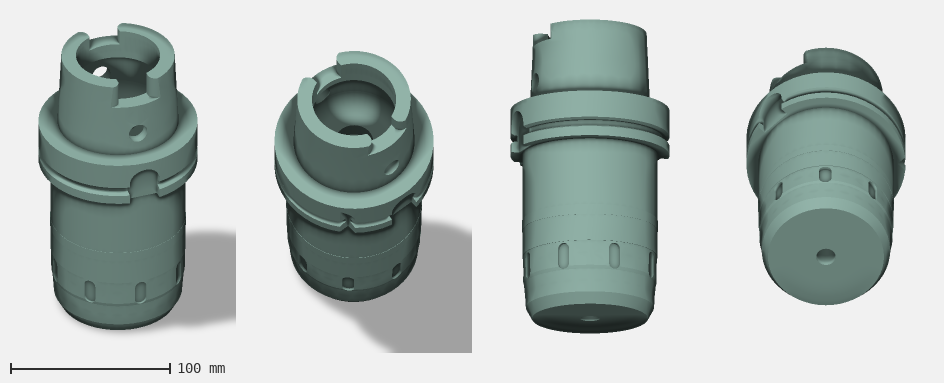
import cadquery as cq
import math


total_height = 185.0
shank_length = 50.0
flange_height = 29.0
flange_top = total_height - shank_length
flange_bottom = flange_top - flange_height

nose_radius = 36.5
nose_bevel_top_z = 7.0
nose_bevel_top_radius = 40.3
nose_top_z = 21.6
nose_top_radius = 41.5
grip_bottom_z = 23.9
grip_bottom_radius = 42.0
grip_top_z = 40.0
grip_top_radius = 42.2

body_radius = 42.5
band_radius = 42.7
band_bottom_z = 56.8
band_top_z = 63.3

flange_diameter = 100.0
flange_radius = flange_diameter / 2
groove_radius = 46.0
groove_bottom_z = 113.0
groove_top_z = 117.0
groove_bevel_height = 1.1
groove_bevel_width = 2.0

shank_base_radius = 38.1
shank_top_radius = 35.7

mouth_radius = 26.5
mouth_depth = 20.0
cavity_radius = 31.3
cavity_depth = 50.9
cavity_floor_fillet = 10.0
counterbore_radius = 12.0
counterbore_depth = 11.1
through_radius = 6.1

drive_slot_width = 20.0
drive_slot_shoulder = 32.4
drive_slot_round = 5.0
left_slot_depth = 10.0
right_slot_depth = 15.0

cross_hole_radius = 6.1
cross_hole_z = 149.7

edge_slot_radius = 10.0
edge_slot_arch_z = 119.9
edge_slot_floor = 44.0
notch_floor = 32.0
notch_wall = 31.6
notch_arch_z = 120.5

grip_slot_count = 8
grip_slot_width = 7.5
grip_slot_height = 16.6
grip_slot_center_z = 30.5
grip_slot_floor = 40.0

cut_margin = 9.2
outer_reach = flange_radius + cut_margin


def outer_body():
    """Turned outside shape."""
    groove_edge_radius = flange_radius - groove_bevel_width
    profile = [
        (0, 0),
        (nose_radius, 0),
        (nose_bevel_top_radius, nose_bevel_top_z),
        (nose_top_radius, nose_top_z),
        (grip_bottom_radius, grip_bottom_z),
        (grip_top_radius, grip_top_z),
        (body_radius, grip_top_z),
        (body_radius, band_bottom_z),
        (band_radius, band_bottom_z),
        (band_radius, band_top_z),
        (body_radius, band_top_z),
        (body_radius, flange_bottom),
        (flange_radius, flange_bottom),
        (flange_radius, groove_bottom_z - groove_bevel_height),
        (groove_edge_radius, groove_bottom_z),
        (groove_radius, groove_bottom_z),
        (groove_radius, groove_top_z),
        (groove_edge_radius, groove_top_z),
        (flange_radius, groove_top_z + groove_bevel_height),
        (flange_radius, flange_top),
        (shank_base_radius, flange_top),
        (shank_top_radius, total_height),
        (0, total_height),
    ]
    return cq.Workplane("XZ").polyline(profile).close().revolve(360, (0, 0), (0, 1))


def hollow():
    """Turned inside shape: mouth, wider cavity, counterbore and through hole."""
    lip_z = total_height - mouth_depth
    floor_z = total_height - cavity_depth
    counterbore_z = floor_z - counterbore_depth
    fillet = cavity_floor_fillet
    fillet_middle = fillet * (1 - math.sqrt(0.5))
    return (
        cq.Workplane("XZ")
        .moveTo(0, total_height)
        .lineTo(mouth_radius, total_height)
        .lineTo(mouth_radius, lip_z)
        .lineTo(cavity_radius, lip_z)
        .lineTo(cavity_radius, floor_z + fillet)
        .threePointArc(
            (cavity_radius - fillet_middle, floor_z + fillet_middle),
            (cavity_radius - fillet, floor_z),
        )
        .lineTo(counterbore_radius, floor_z)
        .lineTo(counterbore_radius, counterbore_z)
        .lineTo(through_radius, counterbore_z)
        .lineTo(through_radius, 0)
        .lineTo(0, 0)
        .close()
        .revolve(360, (0, 0), (0, 1))
    )


def drive_slot(side, depth):
    """Slot in the shank rim on the +X (side = 1) or -X (side = -1) side.

    Beyond the shoulder plane the rim is cut away, with rounded corners between.
    """
    half_width = drive_slot_width / 2
    shoulder = side * drive_slot_shoulder
    round_start = side * (drive_slot_shoulder - drive_slot_round)
    round_end = half_width + drive_slot_round
    reach = side * outer_reach
    middle = drive_slot_round * (1 - math.sqrt(0.5))
    round_middle = (shoulder - side * middle, half_width + middle)
    return (
        cq.Workplane("XY", origin=(0, 0, total_height - depth))
        .moveTo(0, -half_width)
        .lineTo(round_start, -half_width)
        .threePointArc((round_middle[0], -round_middle[1]), (shoulder, -round_end))
        .lineTo(shoulder, -outer_reach)
        .lineTo(reach, -outer_reach)
        .lineTo(reach, outer_reach)
        .lineTo(shoulder, outer_reach)
        .lineTo(shoulder, round_end)
        .threePointArc(round_middle, (round_start, half_width))
        .lineTo(0, half_width)
        .close()
        .extrude(depth)
    )


def cross_hole():
    """Hole along X through both walls of the shank."""
    return (
        cq.Workplane("YZ", origin=(-outer_reach, 0, cross_hole_z))
        .circle(cross_hole_radius)
        .extrude(2 * outer_reach)
    )


def edge_slot(side, floor, center_y, arch_z):
    """Arched slot cut along X into the flange edge, open at the flange underside."""
    length = outer_reach - floor
    start_x = floor if side > 0 else -outer_reach
    return (
        cq.Workplane("YZ", origin=(start_x, center_y, 0))
        .moveTo(-edge_slot_radius, flange_bottom)
        .lineTo(edge_slot_radius, flange_bottom)
        .lineTo(edge_slot_radius, arch_z)
        .threePointArc(
            (0, arch_z + edge_slot_radius),
            (-edge_slot_radius, arch_z),
        )
        .close()
        .extrude(length)
    )


def grip_slot(angle):
    """Flat-floored slot with round ends in the side of the nut."""
    return (
        cq.Workplane("YZ", origin=(grip_slot_floor, 0, grip_slot_center_z))
        .slot2D(grip_slot_height, grip_slot_width, 90)
        .extrude(cut_margin)
        .rotate((0, 0, 0), (0, 0, 1), angle)
    )


result = outer_body().cut(hollow()).cut(cross_hole())

result = result.cut(drive_slot(-1, left_slot_depth))
result = result.cut(drive_slot(1, right_slot_depth))

for slot_side in (-1, 1):
    result = result.cut(edge_slot(slot_side, edge_slot_floor, 0, edge_slot_arch_z))
result = result.cut(edge_slot(-1, notch_floor, notch_wall + edge_slot_radius, notch_arch_z))

for index in range(grip_slot_count):
    result = result.cut(grip_slot(index * 360 / grip_slot_count))